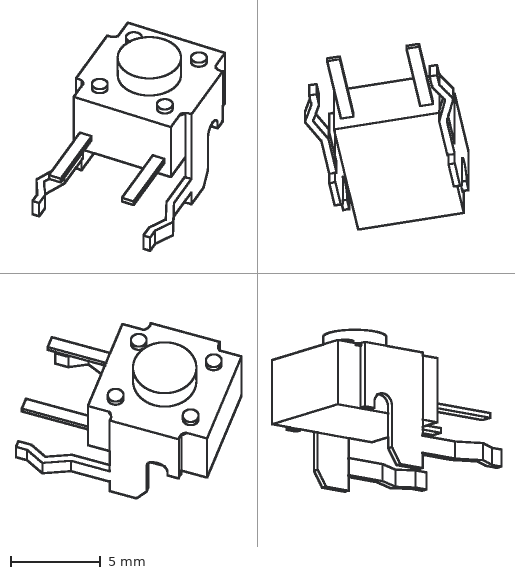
import cadquery as cq
import math

body_width = 5.99
body_length = 7.0
body_height = 3.68

button_radius = 1.76
button_top = 4.93
rivet_radius = 0.44
rivet_height = 0.3
rivet_pitch_x = 4.01
rivet_pitch_y = 4.4

cover_half_width = 3.56
cover_half_length = 2.01
cover_thickness = 0.11
side_thickness = 0.35
relief_radius = 0.5
relief_center_x = 3.41
relief_center_y = cover_half_length + relief_radius

overall_height = 7.87
leg_bottom = button_top - overall_height
leg_rear_y = 0.13
leg_chamfer_y = 0.58
notch_radius = 0.62
notch_top = 0.92
notch_center_y = leg_rear_y + notch_radius

overall_length = 11.01
front_y = body_length / 2 - overall_length
arm_bottom = -2.06
arm_top = -1.08
arm_half_span = 4.21
arm_thickness = 0.42
arm_first_bend_y = -4.29
arm_crest_y = -5.76
arm_last_bend_y = -6.85
arm_tip_x = 3.62
terminal_width = 0.73
terminal_thickness = 0.28
terminal_x = 2.25
terminal_bottom = 0.92


def block(x_range, y_range, z_range):
    """Box between the given limits on each axis."""
    size = [limits[1] - limits[0] for limits in (x_range, y_range, z_range)]
    corner = (x_range[0], y_range[0], z_range[0])
    return cq.Workplane("XY").box(*size, centered=False).translate(corner)


def make_housing():
    housing = cq.Workplane("XY").box(body_width, body_length, body_height, centered=(True, True, False))
    button = cq.Workplane("XY").circle(button_radius).extrude(button_top)
    rivets = (
        cq.Workplane("XY")
        .workplane(offset=body_height)
        .rarray(rivet_pitch_x, rivet_pitch_y, 2, 2)
        .circle(rivet_radius)
        .extrude(rivet_height)
    )
    return housing.union(button).union(rivets)


def make_terminal():
    x_range = (terminal_x - terminal_width / 2, terminal_x + terminal_width / 2)
    z_range = (terminal_bottom, terminal_bottom + terminal_thickness)
    return block(x_range, (front_y, 0), z_range)


def make_side_wall():
    """Wall and leg in profile, with the notch cut through."""
    return (
        cq.Workplane("YZ")
        .workplane(offset=cover_half_width - side_thickness)
        .moveTo(-cover_half_length - relief_radius, body_height)
        .lineTo(cover_half_length + relief_radius, body_height)
        .lineTo(cover_half_length + relief_radius, 0)
        .lineTo(notch_center_y + notch_radius, 0)
        .lineTo(notch_center_y + notch_radius, notch_top - notch_radius)
        .threePointArc((notch_center_y, notch_top), (leg_rear_y, notch_top - notch_radius))
        .lineTo(leg_rear_y, arm_bottom)
        .lineTo(leg_rear_y - leg_chamfer_y, leg_bottom)
        .lineTo(-cover_half_length - relief_radius, leg_bottom)
        .close()
        .extrude(side_thickness)
    )


def make_cover_side():
    """Wall and top flange, with round reliefs trimming both ends."""
    flange = block(
        (0, cover_half_width),
        (-relief_center_y, relief_center_y),
        (body_height - cover_thickness, body_height),
    )
    side = make_side_wall().union(flange)
    for end in (-1, 1):
        relief = (
            cq.Workplane("XY")
            .workplane(offset=leg_bottom)
            .center(relief_center_x, end * relief_center_y)
            .circle(relief_radius)
            .extrude(body_height - leg_bottom)
        )
        side = side.cut(relief)
    return side


def make_arm():
    """Strip of constant thickness, bent outward to a crest and back."""
    out_angle = math.atan2(arm_half_span - cover_half_width, arm_first_bend_y - arm_crest_y)
    back_angle = math.atan2(arm_half_span - arm_tip_x, arm_crest_y - arm_last_bend_y)
    out_shift = arm_thickness * math.tan(out_angle / 2)
    back_shift = arm_thickness * math.tan(back_angle / 2)

    crest_angle = (out_angle - back_angle) / 2
    crest_mitre = arm_thickness / math.cos((out_angle + back_angle) / 2)
    inner_crest = (
        arm_half_span - crest_mitre * math.cos(crest_angle),
        arm_crest_y - crest_mitre * math.sin(crest_angle),
    )

    outer_edge = [
        (cover_half_width, -cover_half_length),
        (cover_half_width, arm_first_bend_y),
        (arm_half_span, arm_crest_y),
        (arm_tip_x, arm_last_bend_y),
        (arm_tip_x, front_y),
    ]
    inner_edge = [
        (arm_tip_x - arm_thickness, front_y),
        (arm_tip_x - arm_thickness, arm_last_bend_y + back_shift),
        inner_crest,
        (cover_half_width - arm_thickness, arm_first_bend_y - out_shift),
        (cover_half_width - arm_thickness, -cover_half_length),
    ]
    return (
        cq.Workplane("XY")
        .workplane(offset=arm_bottom)
        .polyline(outer_edge + inner_edge)
        .close()
        .extrude(arm_top - arm_bottom)
    )


right_half = make_cover_side().union(make_arm()).union(make_terminal())
result = make_housing().union(right_half).union(right_half.mirror("YZ"))